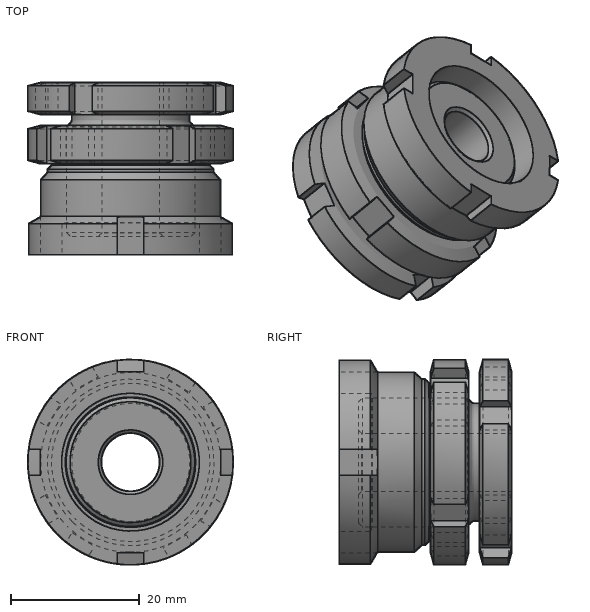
import cadquery as cq


outer_radius = 15.98
length = 26.8
thread_radius = 10.0
notch_width = 4.1
notch_floor_radius = 14.05
notch_count = 4

housing_length = 13.95
flange_length = 6.0
flange_bevel_length = 1.15
barrel_radius = 14.0
collar_radius = 12.95
collar_length = 1.15
collar_chamfer = 0.65
barrel_bevel_length = 1.15
recess_radius = 10.7
recess_depth = 5.0
bore_chamfer = 0.13

nut_width = 5.97
nut_back = length - 6.68
nut_angle = 58.4

head_width = 5.02
head_angle = 119.2
neck_radius = 9.17
neck_length = 1.05
neck_fillet = 0.48
stem_front = 2.95
stem_chamfer = 0.6
hole_radius = 4.5
hole_chamfer = 0.5

rim_bevel_radial = 1.98
rim_bevel_length = 0.55


def revolve_profile(points):
    """Solid of revolution about Y from (radius, station) points."""
    return cq.Workplane("XY").polyline(points).close().revolve(360, (0, 0), (0, 1))


def cut_notches(body, front, back, first_angle):
    """Cut the spanner notches into the rim; angles turn from +X towards +Z."""
    depth = outer_radius - notch_floor_radius
    for index in range(notch_count):
        angle = first_angle + index * 360 / notch_count
        cutter = (
            cq.Workplane("XY")
            .box(2 * depth, back - front, notch_width, centered=(False, False, True))
            .translate((notch_floor_radius, front, 0))
            .rotate((0, 0, 0), (0, 1, 0), -angle)
        )
        body = body.cut(cutter)
    return body


def make_housing():
    collar_front = housing_length - collar_length
    barrel_back = collar_front - barrel_bevel_length
    profile = [
        (recess_radius, 0),
        (outer_radius, 0),
        (outer_radius, flange_length - flange_bevel_length),
        (barrel_radius, flange_length),
        (barrel_radius, barrel_back),
        (collar_radius, collar_front),
        (collar_radius, housing_length - collar_chamfer),
        (collar_radius - collar_chamfer, housing_length),
        (thread_radius, housing_length),
        (thread_radius, recess_depth + bore_chamfer),
        (thread_radius + bore_chamfer, recess_depth),
        (recess_radius, recess_depth),
    ]
    return cut_notches(revolve_profile(profile), 0, flange_length, 0)


def make_lock_nut():
    nut_front = nut_back - nut_width
    face_radius = outer_radius - rim_bevel_radial
    profile = [
        (thread_radius, nut_front),
        (face_radius, nut_front),
        (outer_radius, nut_front + rim_bevel_length),
        (outer_radius, nut_back - rim_bevel_length),
        (face_radius, nut_back),
        (thread_radius, nut_back),
    ]
    return cut_notches(revolve_profile(profile), nut_front, nut_back, nut_angle)


def make_spindle():
    head_front = length - head_width
    neck_front = head_front - neck_length
    face_radius = outer_radius - rim_bevel_radial
    profile = [
        (hole_radius + hole_chamfer, stem_front),
        (thread_radius - stem_chamfer, stem_front),
        (thread_radius, stem_front + stem_chamfer),
        (thread_radius, neck_front - (thread_radius - neck_radius)),
        (neck_radius, neck_front),
        (neck_radius, head_front),
        (face_radius, head_front),
        (outer_radius, head_front + rim_bevel_length),
        (outer_radius, length - rim_bevel_length),
        (face_radius, length),
        (hole_radius, length),
        (hole_radius, stem_front + hole_chamfer),
    ]
    body = revolve_profile(profile)

    margin = 0.03
    neck_corner = cq.selectors.BoxSelector(
        (-margin, neck_front - margin, -margin),
        (margin, neck_front + margin, margin),
    )
    body = body.edges(neck_corner).fillet(neck_fillet)
    return cut_notches(body, head_front, length, head_angle)


housing = make_housing()
lock_nut = make_lock_nut()
spindle = make_spindle()

result = cq.Compound.makeCompound([housing.val(), lock_nut.val(), spindle.val()])